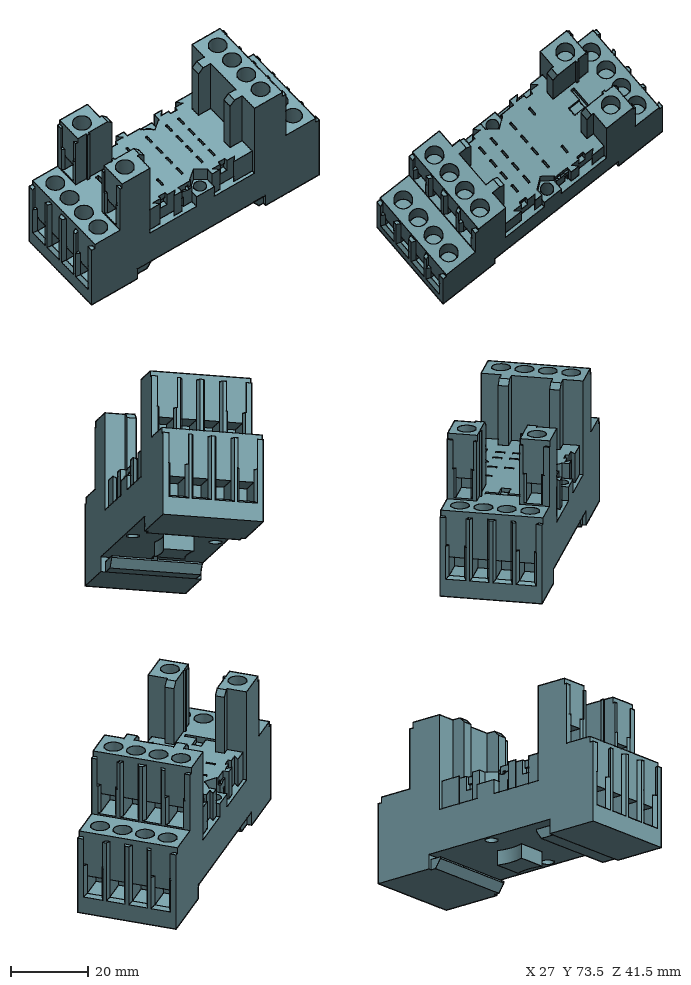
import cadquery as cq


width = 27.0
length = 73.5
height = 41.5
half_width = width / 2
half_length = length / 2
deck_z = 23.5

rear_tower_inner_y = 15.8
rear_tower_outer_y = 25.95
front_tower_inner_y = -17.9
front_tower_outer_y = -27.55
front_tower_gap = 11.3
shoulder_drop = 1.55
wall_setback = 1.1
front_tower_setback = 0.65

rail_z = 4.0
rear_leg_y = 19.4
front_leg_y = -21.9
foot_top_z = 2.9
foot_nose = 0.45
hook_inset = 0.95
latch_inset = 1.3
rear_hook_tip_y = 16.25
front_hook_tip_y = -16.2
hook_slope_run = 2.3
peg_half_width = 4.1
peg_hollow = 0.7

screw_radius = 2.4
screw_depth = 7.35
terminal_pitch = 6.2
terminal_x = [(i - 1.5) * terminal_pitch for i in range(4)]
outer_terminal_x = [terminal_x[0], terminal_x[-1]]
inner_terminal_x = terminal_x[1:-1]
rear_base_screw_y = 31.4
rear_tower_screw_y = 20.95
front_tower_screw_y = -22.85
front_base_screw_y = -31.45

base_window_floor = 4.85
tower_window_floor = 23.95
ramp_rise = 0.65
base_cavity_top = 10.65
tower_cavity_top = 29.3
cavity_depth = 6.75
window_back_width = 4.0
outer_window_width = 5.4
outer_upper_width = 5.2
undercut_width = 6.2
inner_window_width = 5.15
tower_lower_width = 4.9
base_step_z = 14.05
tower_step_z = 32.0

guide_outer_x = 8.15
rear_guide_inner_x = 5.45
rear_guide_tip_y = 11.9
front_guide_tip_y = -15.8
guide_chamfer = 1.5
key_rib_reach = 0.5
key_rib_y = (-24.1, -23.4)

side_floor_z = 15.5
side_depth = 0.95
side_wall_x = half_width - side_depth
dovetail_y = (7.6, -11.7)
dovetail_mouth = 4.4
dovetail_back = 7.1
dovetail_x = 11.2
notch_width = 2.05
notch_floor_z = 19.6
notch_step_z = 21.5
notch_upper_x = 10.3
notch_lower_x = 9.7

mount_x = 11.1
mount_radius = 1.7
mount_floor_z = 19.3
mount_half_length = 2.9
mount_shoulder_x = 10.5
mount_tip_x = 8.3

label_end_y = -6.9
label_wall_x = 11.5
label_upper_x = 10.95
label_low_z = 21.1
label_high_z = 21.5
label_hole_y = (-4.5, -3.7)
label_hole_top_z = 22.05
label_hole_depth = 0.7
label_groove_y = (-6.55, -5.65)
label_groove_top_z = 19.1

slit_length = 2.35
slit_width = 0.5
slit_depth = 3.7
slit_inner_x = 2.1
slit_outer_x = 6.6
full_slit_rows_y = (7.1, 3.2, -3.2)
short_slit_row_y = -9.55
tee_bar_depth = 2.2
tee_stem_depth = 1.1
tee_bar_half_width = 4.6
tee_bar_y = (-21.9, -20.95)
tee_stem_half_width = 1.25
tee_stem_end_y = -17.4

rod_radius = 0.6
rod_sink = 0.1
rod_head_y = -17.65
rod_shank_y = -18.9


def block(x_range, y_range, z_range):
    """Box between two X, two Y and two Z values, given in any order."""
    ranges = (x_range, y_range, z_range)
    sizes = [abs(b - a) for a, b in ranges]
    return cq.Workplane("XY").box(*sizes, centered=False).translate([min(r) for r in ranges])


def side_prism(points, half_x):
    """Prism of a (Y, Z) outline, extruded equally to both sides of X = 0."""
    return cq.Workplane("YZ").polyline(points).close().extrude(half_x, both=True)


def plan_prism(points, z_low, z_high):
    """Upright prism of an (X, Y) outline."""
    return cq.Workplane("XY").workplane(offset=z_low).polyline(points).close().extrude(z_high - z_low)


def tier_outline(outer_y, inner_y, setback, top_z):
    """(Y, Z) outline of a terminal block whose outer edge steps in just below its top."""
    inward = 1 if inner_y > outer_y else -1
    wall_y = outer_y + inward * setback
    shoulder_z = top_z - shoulder_drop
    return [
        (inner_y, 0), (outer_y, 0), (outer_y, shoulder_z),
        (wall_y, shoulder_z), (wall_y, top_z), (inner_y, top_z),
    ]


def foot(tip_y, root_y, inset):
    """Rail hook that points along Y from its root to its sloping tip."""
    inward = 0.7 if root_y > tip_y else -0.7
    outline = [
        (root_y, 0), (tip_y + inward * hook_slope_run, 0),
        (tip_y, foot_top_z - foot_nose), (tip_y, foot_top_z), (root_y, foot_top_z),
    ]
    return side_prism(outline, half_width - inset)


def guide_rib(x_range, root_y, tip_y):
    """Upright rib on the inner face of a tower, with its top corner chamfered."""
    inward = 1 if root_y > tip_y else -1
    outline = [
        (root_y, deck_z), (tip_y, deck_z), (tip_y, height - guide_chamfer),
        (tip_y + inward * guide_chamfer, height), (root_y, height),
    ]
    x_low, x_high = sorted(x_range)
    rib = cq.Workplane("YZ").polyline(outline).close().extrude(x_high - x_low)
    return rib.translate((x_low, 0, 0))


def centre_peg():
    """Square peg under the middle of the housing, with hollowed X faces."""
    edge = peg_half_width
    waist = peg_half_width - peg_hollow
    outline = cq.Workplane("XY").moveTo(-edge, -edge).lineTo(edge, -edge)
    outline = outline.threePointArc((waist, 0), (edge, edge)).lineTo(-edge, edge)
    return outline.threePointArc((-waist, 0), (-edge, -edge)).close().extrude(rail_z)


def housing_blank():
    """Base, towers, guide ribs and rail features before anything is cut away."""
    blank = side_prism(tier_outline(half_length, 0, wall_setback, deck_z), half_width)
    blank = blank.union(side_prism(tier_outline(-half_length, 0, wall_setback, deck_z), half_width))
    rear_tower = tier_outline(rear_tower_outer_y, rear_tower_inner_y, wall_setback, height)
    front_tower = tier_outline(front_tower_outer_y, front_tower_inner_y, front_tower_setback, height)
    blank = blank.union(side_prism(rear_tower, half_width))
    blank = blank.union(side_prism(front_tower, half_width))
    gap_x = front_tower_gap / 2
    gap_y = (front_tower_outer_y, front_tower_inner_y)
    blank = blank.cut(block((-gap_x, gap_x), gap_y, (deck_z, height)))

    for side in (-1, 1):
        outer_x = side * guide_outer_x
        blank = blank.union(
            guide_rib((outer_x, side * rear_guide_inner_x), rear_tower_inner_y, rear_guide_tip_y))
        blank = blank.union(guide_rib((outer_x, side * gap_x), front_tower_inner_y, front_guide_tip_y))
        key_x = (side * gap_x, side * (gap_x - key_rib_reach))
        blank = blank.union(block(key_x, key_rib_y, (deck_z, height)))

    rail = block((-half_width, half_width), (front_leg_y, rear_leg_y), (0, rail_z))
    return blank.cut(rail).union(centre_peg()).union(foot(rear_hook_tip_y, rear_leg_y, hook_inset))


def screw_holes():
    """Blind round holes above the terminals of every tier."""
    rows = (
        (rear_base_screw_y, deck_z, terminal_x),
        (rear_tower_screw_y, height, terminal_x),
        (front_tower_screw_y, height, outer_terminal_x),
        (front_base_screw_y, deck_z, terminal_x),
    )
    holes = cq.Workplane("XY")
    for y, top_z, columns in rows:
        points = [(x, y) for x in columns]
        row = cq.Workplane("XY").workplane(offset=top_z).pushPoints(points)
        holes = holes.add(row.circle(screw_radius).extrude(-screw_depth).vals())
    return holes.combine()


def window_slot(x, face_y, wall_y, front_width, back_width, z_low, z_high):
    """Slot through the rib layer, tapering between the outer face and the wall behind it."""
    outline = [
        (x - front_width / 2, face_y), (x + front_width / 2, face_y),
        (x + back_width / 2, wall_y), (x - back_width / 2, wall_y),
    ]
    return plan_prism(outline, z_low, z_high)


def wire_window(x, face_y, wall_y, sections, cavity_floor, cavity_top):
    """Stacked slots (front width, back width, bottom, top) with the wire cavity behind them."""
    inward = 1 if wall_y > face_y else -1
    x_range = (x - window_back_width / 2, x + window_back_width / 2)
    y_range = (wall_y, wall_y + inward * cavity_depth)
    window = block(x_range, y_range, (cavity_floor, cavity_top))
    for front_width, back_width, z_low, z_high in sections:
        window = window.union(window_slot(x, face_y, wall_y, front_width, back_width, z_low, z_high))
    return window


def cut_window_row(body, face_y, wall_y, columns, sections, cavity_z):
    """Row of equal wire windows at the given X places."""
    for x in columns:
        body = body.cut(wire_window(x, face_y, wall_y, sections, *cavity_z))
    return body


def cut_base_windows(body):
    """Four windows in each end face, with a short ramp along their sills."""
    top_z = deck_z - shoulder_drop
    cavity_z = (base_window_floor + ramp_rise, base_cavity_top)
    outer_sections = [
        (outer_window_width, window_back_width, base_window_floor, base_step_z),
        (outer_upper_width, undercut_width, base_step_z, top_z),
    ]
    inner_sections = [(inner_window_width, window_back_width, base_window_floor, top_z)]
    for end in (-1, 1):
        face_y = end * half_length
        wall_y = end * (half_length - wall_setback)
        body = cut_window_row(body, face_y, wall_y, outer_terminal_x, outer_sections, cavity_z)
        body = cut_window_row(body, face_y, wall_y, inner_terminal_x, inner_sections, cavity_z)
        ramp = [(face_y, base_window_floor), (wall_y, base_window_floor), (wall_y, cavity_z[0])]
        body = body.union(side_prism(ramp, half_width))
    return body


def cut_tower_windows(body):
    """Outer windows in all towers and inner ones in the rear tower."""
    top_z = height - shoulder_drop
    cavity_z = (tower_window_floor, tower_cavity_top)
    outer_sections = [
        (tower_lower_width, window_back_width, tower_window_floor, tower_step_z),
        (outer_window_width, undercut_width, tower_step_z, top_z),
    ]
    inner_sections = [(inner_window_width, window_back_width, tower_window_floor, top_z)]
    rear_wall_y = rear_tower_outer_y - wall_setback
    front_wall_y = front_tower_outer_y + front_tower_setback
    body = cut_window_row(body, front_tower_outer_y, front_wall_y, outer_terminal_x, outer_sections, cavity_z)
    body = cut_window_row(body, rear_tower_outer_y, rear_wall_y, outer_terminal_x, outer_sections, cavity_z)
    return cut_window_row(body, rear_tower_outer_y, rear_wall_y, inner_terminal_x, inner_sections, cavity_z)


def dovetail_recess(side, y):
    """Undercut recess in one long side, with a stepped notch in its back wall."""
    outline = [
        (side * half_width, y - dovetail_mouth / 2), (side * side_wall_x, y - dovetail_mouth / 2),
        (side * dovetail_x, y - dovetail_back / 2), (side * dovetail_x, y + dovetail_back / 2),
        (side * side_wall_x, y + dovetail_mouth / 2), (side * half_width, y + dovetail_mouth / 2),
    ]
    recess = plan_prism(outline, side_floor_z, deck_z)
    notch_y = (y - notch_width / 2, y + notch_width / 2)
    upper = block((side * dovetail_x, side * notch_upper_x), notch_y, (notch_step_z, deck_z))
    lower = block((side * dovetail_x, side * notch_lower_x), notch_y, (notch_floor_z, notch_step_z))
    return recess.union(upper).union(lower)


def label_recess(side):
    """Recess in front of a mounting hole, set back further above a cranked ledge."""
    y_range = (label_end_y, -mount_half_length)
    recess = block((side * half_width, side * label_wall_x), y_range, (side_floor_z, deck_z))
    ledge = [
        (-mount_half_length, deck_z), (-mount_half_length, label_high_z),
        (label_hole_y[1], label_low_z), (label_hole_y[0], label_low_z),
        (label_groove_y[1], label_high_z), (label_end_y, label_high_z), (label_end_y, deck_z),
    ]
    upper = side_prism(ledge, label_wall_x)
    upper = upper.intersect(block((side * label_wall_x, side * label_upper_x), y_range, (0, deck_z)))
    hole_x = (side * label_upper_x, side * (label_upper_x - label_hole_depth))
    hole = block(hole_x, label_hole_y, (label_low_z, label_hole_top_z))
    groove_x = (side * label_wall_x, side * label_upper_x)
    groove = block(groove_x, label_groove_y, (side_floor_z, label_groove_top_z))
    return recess.union(upper).union(hole).union(groove)


def mount_pocket(side):
    """Pointed pocket with the through hole for a mounting screw."""
    outline = [
        (side * half_width, -mount_half_length), (side * mount_shoulder_x, -mount_half_length),
        (side * mount_tip_x, 0),
        (side * mount_shoulder_x, mount_half_length), (side * half_width, mount_half_length),
    ]
    pocket = plan_prism(outline, mount_floor_z, deck_z)
    hole = cq.Workplane("XY").center(side * mount_x, 0).circle(mount_radius).extrude(deck_z)
    return pocket.union(hole)


def cut_side_recesses(body):
    """Recesses, dovetails and mounting pockets along both long sides."""
    side_z = (side_floor_z, deck_z)
    for side in (-1, 1):
        side_x = (side * half_width, side * side_wall_x)
        body = body.cut(block(side_x, (mount_half_length, rear_tower_inner_y), side_z))
        body = body.cut(block(side_x, (front_tower_inner_y, -mount_half_length), side_z))
        for y in dovetail_y:
            body = body.cut(dovetail_recess(side, y))
        body = body.cut(label_recess(side)).cut(mount_pocket(side))
    return body


def contact_slits():
    """Rows of narrow slits in the deck for the relay blades."""
    points = []
    for side in (-1, 1):
        points.append((side * slit_outer_x, short_slit_row_y))
        for y in full_slit_rows_y:
            points.append((side * slit_inner_x, y))
            points.append((side * slit_outer_x, y))
    deck = cq.Workplane("XY").workplane(offset=deck_z).pushPoints(points)
    return deck.rect(slit_length, slit_width).extrude(-slit_depth)


def tee_recess():
    """T-shaped recess in the deck between the front towers, deeper along its bar."""
    bar_z = (deck_z - tee_bar_depth, deck_z)
    stem_z = (deck_z - tee_stem_depth, deck_z)
    bar = block((-tee_bar_half_width, tee_bar_half_width), tee_bar_y, bar_z)
    stem_y = (tee_bar_y[1], tee_stem_end_y)
    stem = block((-tee_stem_half_width, tee_stem_half_width), stem_y, stem_z)
    return bar.union(stem)


def make_housing():
    """One-piece socket housing with its fixed rail hook and centre peg."""
    body = cut_tower_windows(cut_base_windows(housing_blank()))
    body = body.cut(screw_holes())
    body = cut_side_recesses(body)
    return body.cut(contact_slits()).cut(tee_recess())


def make_rail_latch():
    """Front rail hook carrying a spring rod with a square head on its top face."""
    latch = foot(front_hook_tip_y, front_leg_y, latch_inset)
    axis_z = foot_top_z + rod_radius - rod_sink
    rod_length = rod_shank_y - front_leg_y
    rod = cq.Workplane("XZ", origin=(0, rod_shank_y, axis_z)).circle(rod_radius).extrude(rod_length)
    head = block((-rod_radius, rod_radius), (rod_shank_y, rod_head_y), (foot_top_z, axis_z + rod_radius))
    return latch.union(rod).union(head)


housing = make_housing()
rail_latch = make_rail_latch()

result = cq.Compound.makeCompound([*housing.solids().vals(), *rail_latch.solids().vals()])